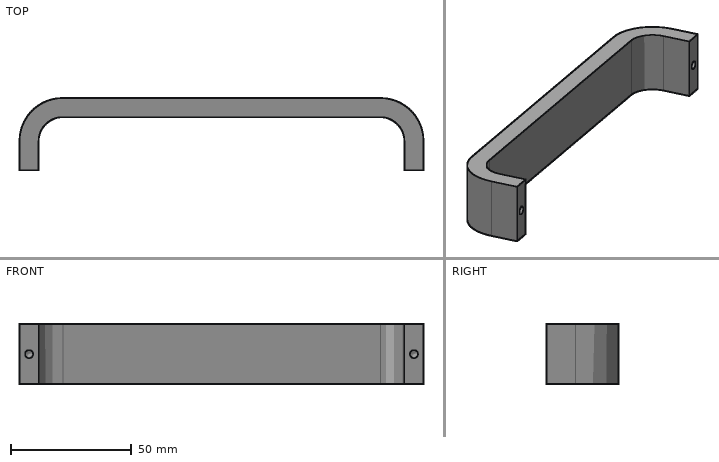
import cadquery as cq
import math

length = 168.0
depth = 30.0
height = 25.0

thickness = 8.0
outer_radius = 18.0
inner_radius = outer_radius - thickness

hole_diameter = 3.4
hole_depth = 10.0
drill_tip_angle = 118.0
drill_tip_length = hole_diameter / 2 / math.tan(math.radians(drill_tip_angle / 2))
hole_spacing = length - thickness


def bent_outline(width, reach, radius):
    """Solid block, open end at Y = 0, with its two far corners rounded."""
    return (
        cq.Workplane("XY")
        .rect(width, 2 * reach)
        .extrude(height)
        .edges("|Z and >Y")
        .fillet(radius)
        .intersect(cq.Workplane("XY").box(width, reach, height, centered=(True, False, False)))
    )


outer = bent_outline(length, depth, outer_radius)
inner = bent_outline(length - 2 * thickness, depth - thickness, inner_radius)
handle = outer.cut(inner)

def drilled_hole(x):
    """Cutter for one hole along Y: a cylinder ending in a cone."""
    return (
        cq.Workplane("XY", origin=(x, 0, height / 2))
        .lineTo(hole_diameter / 2, 0)
        .lineTo(hole_diameter / 2, hole_depth)
        .lineTo(0, hole_depth + drill_tip_length)
        .close()
        .revolve(360, (0, 0, 0), (0, 1, 0))
    )


for side in (-1, 1):
    handle = handle.cut(drilled_hole(side * hole_spacing / 2))

result = handle